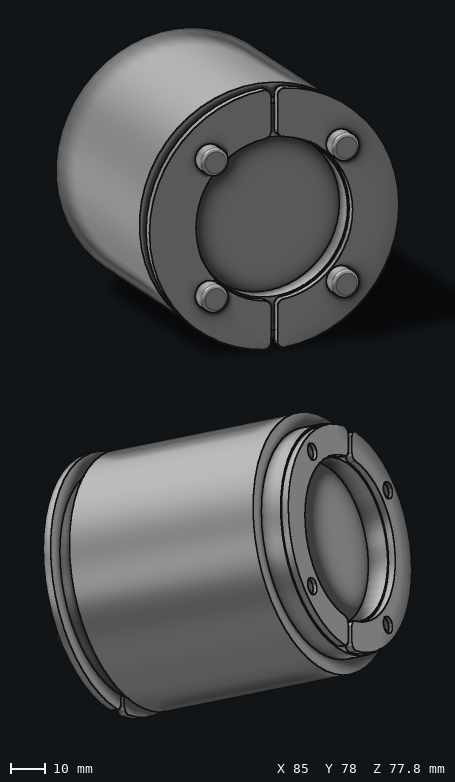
import cadquery as cq

total_length = 85.0
front_plate_end = 2.3
body_start = 8.8
body_end = 71.3
flange_start = 77.4
flange_end = 80.0

body_radius = 38.5
neck_radius = 34.0
neck_bore_radius = 24.0
front_plate_radius = 33.5
flange_radius = 39.0
plate_bore_radius = 24.5

slot_width = 2.0
slot_corner_radius = 2.0

pattern_pitch = 41.0
hole_radius = 2.5
hole_depth = 1.3
pin_radius = 4.25
pin_tip_fillet = 1.0


def disc(x_start, x_end, radius):
    """Solid cylinder along X between two stations."""
    return cq.Workplane("YZ", origin=(x_start, 0, 0)).circle(radius).extrude(x_end - x_start)


def ring(x_start, x_end, outer_radius, bore_radius):
    """Hollow cylinder along X between two stations."""
    return disc(x_start, x_end, outer_radius).cut(disc(x_start, x_end, bore_radius))


def split_plate(x_start, x_end, outer_radius):
    """End ring cut into two halves by a vertical slot, with rounded slot corners."""
    thickness = x_end - x_start
    slot = cq.Workplane("XY").box(thickness, slot_width, 2 * outer_radius, centered=(False, True, True))
    halves = ring(x_start, x_end, outer_radius, plate_bore_radius).cut(slot.translate((x_start, 0, 0)))
    slot_edges = cq.selectors.BoxSelector(
        (x_start, -slot_width, -outer_radius), (x_end, slot_width, outer_radius)
    )
    return halves.edges("|X").edges(slot_edges).fillet(slot_corner_radius)


def pattern(x_position):
    """Workplane facing +X with the four pattern positions selected."""
    plane = cq.Workplane("YZ", origin=(x_position, 0, 0))
    return plane.rect(pattern_pitch, pattern_pitch, forConstruction=True).vertices()


body = disc(body_start, body_end, body_radius)
front_neck = ring(front_plate_end, body_start, neck_radius, neck_bore_radius)
rear_neck = ring(body_end, flange_start, neck_radius, neck_bore_radius)

front_holes = pattern(0).circle(hole_radius).extrude(hole_depth)
front_plate = split_plate(0, front_plate_end, front_plate_radius).cut(front_holes)
rear_flange = split_plate(flange_start, flange_end, flange_radius)

pins = pattern(flange_end).circle(pin_radius).extrude(total_length - flange_end)
pins = pins.faces(">X").edges().fillet(pin_tip_fillet)

result = body
for piece in (front_neck, rear_neck, front_plate, rear_flange, pins):
    result = result.union(piece)